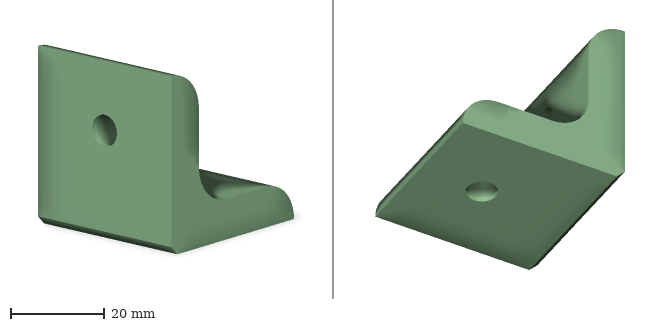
import cadquery as cq
import math

width = 38.0
leg_length = 40.0
thickness = 9.0
corner_chamfer = 2.0
hole_diameter = 7.0

flat_start = 2 * thickness
flat_end = leg_length - thickness
hole_offset = (flat_start + flat_end) / 2

arc_mid = thickness * math.sqrt(0.5)


def angle_body():
    """L-shaped section in the YZ plane, extruded symmetrically about X = 0."""
    return (
        cq.Workplane("YZ")
        .moveTo(corner_chamfer, 0)
        .lineTo(leg_length, 0)
        .threePointArc((flat_end + arc_mid, arc_mid), (flat_end, thickness))
        .lineTo(flat_start, thickness)
        .threePointArc(
            (flat_start - arc_mid, flat_start - arc_mid),
            (thickness, flat_start),
        )
        .lineTo(thickness, flat_end)
        .threePointArc((arc_mid, flat_end + arc_mid), (0, leg_length))
        .lineTo(0, corner_chamfer)
        .close()
        .extrude(width / 2, both=True)
    )


def leg_hole(plane, center, direction):
    """Cylinder that drills through one leg from its outer face."""
    return (
        cq.Workplane(plane)
        .center(*center)
        .circle(hole_diameter / 2)
        .extrude(direction * thickness)
    )


upright_hole = leg_hole("XZ", (0, hole_offset), -1)
base_hole = leg_hole("XY", (0, hole_offset), 1)

result = angle_body().cut(upright_hole).cut(base_hole)